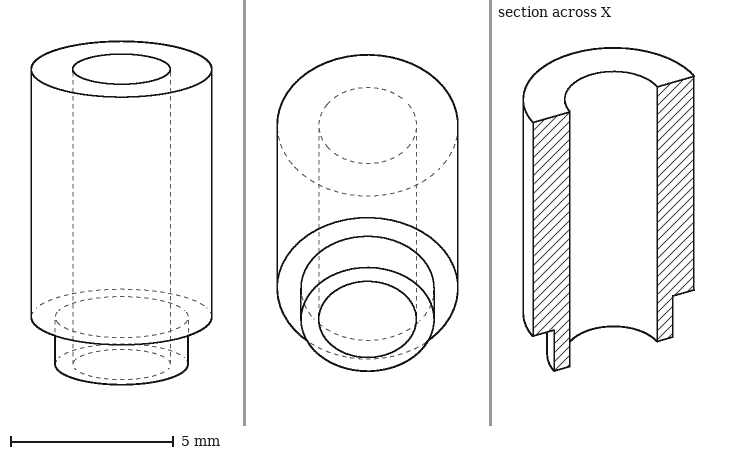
import cadquery as cq

body_diameter = 5.56
body_length = 8.0
spigot_diameter = 4.09
spigot_length = 1.53
bore_diameter = 3.0


def make_body():
    """Main cylinder, standing on the shoulder plane Z = 0."""
    return cq.Workplane("XY").circle(body_diameter / 2).extrude(body_length)


def make_spigot():
    """Smaller cylinder reaching down from the shoulder."""
    return cq.Workplane("XY").circle(spigot_diameter / 2).extrude(-spigot_length)


def make_bore():
    """Cutter for the bore along the full length of the part."""
    bore_length = body_length + spigot_length
    bottom = cq.Workplane("XY").workplane(offset=-spigot_length)
    return bottom.circle(bore_diameter / 2).extrude(bore_length)


result = make_body().union(make_spigot()).cut(make_bore())